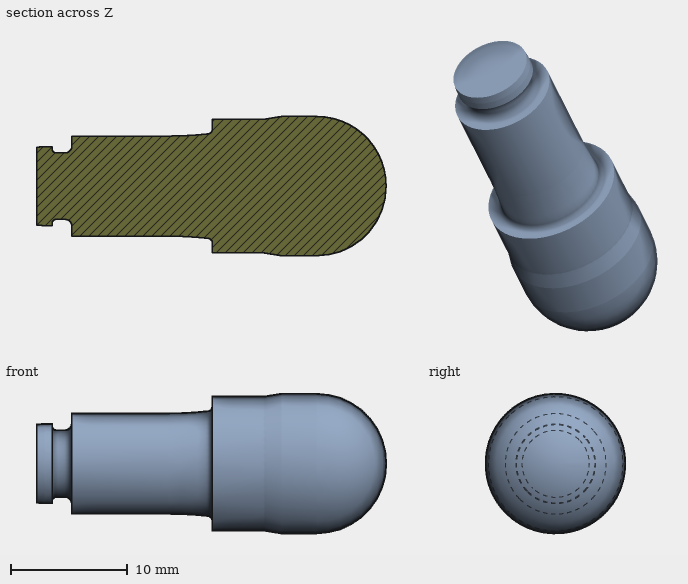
import cadquery as cq
import math


head_end_radius = 3.35
head_radius = 3.42
neck_radius = 2.88
shank_radius = 4.32
collar_radius = 5.75
nose_radius = 6.0

length = 30.0
head_taper_end = 0.65
head_back = 1.35
shank_start = 3.0
flare_start = 11.3
collar_start = 15.05
cone_start = 19.53
cone_end = 21.0
dome_start = length - nose_radius

head_fillet = 0.3
shank_fillet = 0.55
collar_fillet = 0.4
flare_length = 3.35
flare_rise = 0.18

flare_arc_radius = (flare_length**2 + flare_rise**2) / (2 * flare_rise)
flare_end = flare_start + flare_length
flare_end_radius = shank_radius + flare_rise


def circle_point(center_x, center_r, radius, degrees):
    """Point on a circle in the profile plane."""
    angle = math.radians(degrees)
    return (center_x + radius * math.cos(angle), center_r + radius * math.sin(angle))


flare_half_angle = math.degrees(math.asin(flare_length / flare_arc_radius)) / 2
flare_middle = circle_point(
    flare_start, shank_radius + flare_arc_radius, flare_arc_radius, flare_half_angle - 90
)
head_fillet_middle = circle_point(
    head_back + head_fillet, neck_radius + head_fillet, head_fillet, 225
)
shank_fillet_middle = circle_point(
    shank_start - shank_fillet, neck_radius + shank_fillet, shank_fillet, -45
)
collar_fillet_middle = circle_point(
    collar_start - collar_fillet, flare_end_radius + collar_fillet, collar_fillet, -45
)
dome_middle = circle_point(dome_start, 0, nose_radius, 45)

profile = (
    cq.Workplane("XY")
    .moveTo(0, 0)
    .lineTo(0, head_end_radius)
    .lineTo(head_taper_end, head_radius)
    .lineTo(head_back, head_radius)
    .lineTo(head_back, neck_radius + head_fillet)
    .threePointArc(head_fillet_middle, (head_back + head_fillet, neck_radius))
    .lineTo(shank_start - shank_fillet, neck_radius)
    .threePointArc(shank_fillet_middle, (shank_start, neck_radius + shank_fillet))
    .lineTo(shank_start, shank_radius)
    .lineTo(flare_start, shank_radius)
    .threePointArc(flare_middle, (flare_end, flare_end_radius))
    .threePointArc(collar_fillet_middle, (collar_start, flare_end_radius + collar_fillet))
    .lineTo(collar_start, collar_radius)
    .lineTo(cone_start, collar_radius)
    .lineTo(cone_end, nose_radius)
    .lineTo(dome_start, nose_radius)
    .threePointArc(dome_middle, (length, 0))
    .close()
)

result = profile.revolve(360, (0, 0, 0), (1, 0, 0))